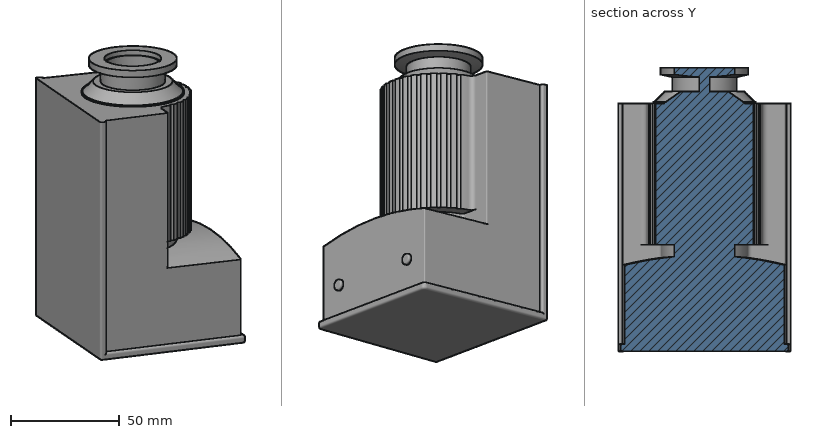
import cadquery as cq
import math

total_height = 130.4
body_top = 113.9
depth = 73.0
front_width = 79.4
back_width = 75.9

plate_thickness = 3.3
base_thickness = 3.5
cover_edge_fillet = 1.0
cover_corner_fillet = 2.0
cover_margin = 1.8

housing_back = depth - cover_margin
housing_edge_fillet = 0.5
step_wall_y = 34.5
step_side_z = 39.9
crown_rise = 4.5
crown_slope_deg = 0.7

axis_y = 32.2
fin_radius = 26.9
fin_bottom = 49.0
fin_root_fillet = 2.6
groove_pitch_deg = 10
grooves_per_side = 7
groove_radius = 1.0
groove_depth = 0.7
stem_radius = 20.2
stem_root_fillet = 2.0

collar_radius = 23.6
collar_lip_height = 0.7
collar_overlap = 1.3
cone_base_radius = 23.1
cone_top_radius = 18.2
neck_radius = 14.9
neck_bottom = 119.4
flange_radius = stem_radius
flange_rim_thickness = 3.3
flange_taper_height = 1.2
recess_radius = 13.0
recess_depth = 2.3
bore_radius = 12.5
bore_depth = 13.0

button_radius = 2.6
button_height = 1.5
button_fillet = 0.8
button_x = 24.1
button_z = 18.0


def half_width(y):
    """Half width of the cover at depth y, narrowing evenly from front to back."""
    return (front_width + (back_width - front_width) * y / depth) / 2


def trapezoid(y_front, y_back, margin, z_bottom, z_top):
    """Block with tapered sides, set in by margin from the sides of the cover."""
    front_x = half_width(y_front) - margin
    back_x = half_width(y_back) - margin
    return (
        cq.Workplane("XY")
        .workplane(offset=z_bottom)
        .polyline([(-front_x, y_front), (front_x, y_front), (back_x, y_back), (-back_x, y_back)])
        .close()
        .extrude(z_top - z_bottom)
    )


def make_cover():
    base = trapezoid(0, depth, 0, 0, base_thickness).edges("|Z and >Y").fillet(cover_corner_fillet)
    plate = trapezoid(0, plate_thickness, 0, 0, body_top)
    cover = base.union(plate)
    inner_corner = cq.selectors.NearestToPointSelector((0, plate_thickness, base_thickness))
    top_edges = cq.StringSyntaxSelector(">Z")
    sharp_edges = top_edges + inner_corner
    rounded_edges = cover.edges(-sharp_edges)
    return rounded_edges.fillet(cover_edge_fillet)


def make_tower():
    tower = trapezoid(plate_thickness / 2, step_wall_y, cover_margin, base_thickness / 2, body_top)
    return tower.edges("|Z and >Y").fillet(housing_edge_fillet)


def make_lower_block():
    """Rear block with an arched top that drops slightly toward the back."""
    crown_top = step_side_z + crown_rise
    block = trapezoid(plate_thickness / 2, housing_back, cover_margin, base_thickness / 2, crown_top)
    block = block.edges("|Z and >Y").fillet(housing_edge_fillet)
    side_x = half_width(step_wall_y) - cover_margin
    arch = (
        cq.Workplane("XZ", origin=(0, 2 * depth, 0))
        .moveTo(-side_x, step_side_z)
        .threePointArc((0, crown_top), (side_x, step_side_z))
        .lineTo(side_x + cover_margin, step_side_z)
        .lineTo(side_x + cover_margin, -total_height)
        .lineTo(-side_x - cover_margin, -total_height)
        .lineTo(-side_x - cover_margin, step_side_z)
        .close()
        .extrude(4 * depth)
        .rotate((0, step_wall_y, step_side_z), (1, step_wall_y, step_side_z), -crown_slope_deg)
    )
    return block.intersect(arch)


def bulge(radius, root_fillet, z_bottom):
    """Round bulge about the pump axis, blended into the step wall by concave arcs."""
    wall = step_wall_y - axis_y
    fillet_y = wall + root_fillet
    centre_distance = radius + root_fillet
    fillet_x = math.sqrt(centre_distance**2 - fillet_y**2)
    tangent_x = fillet_x * radius / centre_distance
    tangent_y = fillet_y * radius / centre_distance
    angle_to_axis = math.atan2(fillet_y, fillet_x) + math.pi
    angle_to_wall = 3 * math.pi / 2
    middle_angle = (angle_to_axis + angle_to_wall) / 2
    middle_x = fillet_x + root_fillet * math.cos(middle_angle)
    middle_y = fillet_y + root_fillet * math.sin(middle_angle)
    return (
        cq.Workplane("XY", origin=(0, axis_y, z_bottom))
        .moveTo(-fillet_x, 0)
        .lineTo(-fillet_x, wall)
        .threePointArc((-middle_x, middle_y), (-tangent_x, tangent_y))
        .threePointArc((0, radius), (tangent_x, tangent_y))
        .threePointArc((middle_x, middle_y), (fillet_x, wall))
        .lineTo(fillet_x, 0)
        .close()
        .extrude(body_top - z_bottom)
    )


def make_finned_barrel():
    barrel = bulge(fin_radius, fin_root_fillet, fin_bottom)
    groove_distance = fin_radius - groove_depth + groove_radius
    angles = [
        math.radians(groove_pitch_deg * step)
        for step in range(-grooves_per_side, grooves_per_side + 1)
    ]
    grooves = (
        cq.Workplane("XY", origin=(0, axis_y, fin_bottom))
        .pushPoints([(groove_distance * math.sin(a), groove_distance * math.cos(a)) for a in angles])
        .circle(groove_radius)
        .extrude(body_top - fin_bottom)
    )
    return barrel.cut(grooves)


def make_inlet():
    lip_top = body_top + collar_lip_height
    rim_bottom = total_height - flange_rim_thickness
    floor_z = total_height - bore_depth
    recess_z = total_height - recess_depth
    profile = [
        (0, body_top - collar_overlap),
        (collar_radius, body_top - collar_overlap),
        (collar_radius, lip_top),
        (cone_base_radius, lip_top),
        (cone_top_radius, neck_bottom),
        (neck_radius, neck_bottom),
        (neck_radius, rim_bottom - flange_taper_height),
        (flange_radius, rim_bottom),
        (flange_radius, total_height),
        (recess_radius, total_height),
        (recess_radius, recess_z),
        (bore_radius, recess_z),
        (bore_radius, floor_z),
        (0, floor_z),
    ]
    return (
        cq.Workplane("XZ", origin=(0, axis_y, 0))
        .polyline(profile)
        .close()
        .revolve(360, (0, 0, 0), (0, 1, 0))
    )


def make_buttons():
    buttons = (
        cq.Workplane("XZ", origin=(0, housing_back - button_height, 0))
        .pushPoints([(-button_x, button_z), (button_x, button_z)])
        .circle(button_radius)
        .extrude(-2 * button_height)
    )
    return buttons.faces(">Y").edges().fillet(button_fillet)


stem = bulge(stem_radius, stem_root_fillet, step_side_z)

result = (
    make_cover()
    .union(make_tower())
    .union(make_lower_block())
    .union(stem)
    .union(make_finned_barrel())
    .union(make_inlet())
    .union(make_buttons())
)